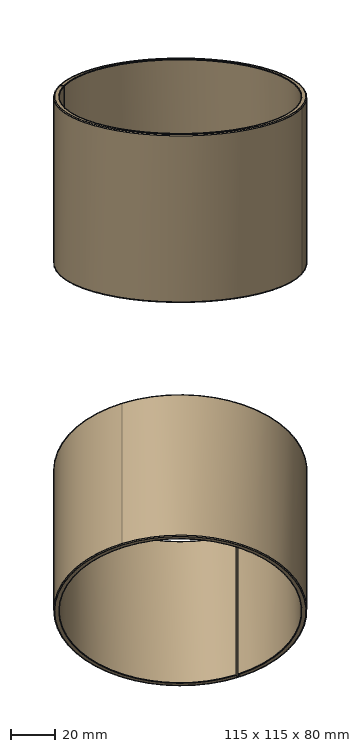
import cadquery as cq

outer_diameter = 115.0
wall = 2.5
height = 80.0
gap_width = 1.0
outer_chamfer = 0.5
inner_chamfer = 0.2

outer_radius = outer_diameter / 2
inner_radius = outer_radius - wall


def sleeve():
    """Revolve the wall section, with all four rim edges chamfered."""
    section = [
        (inner_radius + inner_chamfer, 0),
        (outer_radius - outer_chamfer, 0),
        (outer_radius, outer_chamfer),
        (outer_radius, height - outer_chamfer),
        (outer_radius - outer_chamfer, height),
        (inner_radius + inner_chamfer, height),
        (inner_radius, height - inner_chamfer),
        (inner_radius, inner_chamfer),
    ]
    return cq.Workplane("XZ").polyline(section).close().revolve(360, (0, 0), (0, 1))


def split_gap():
    """Full-height cutter through the -X wall, with one face on the XZ plane."""
    cutter = cq.Workplane("XY").box(outer_diameter, gap_width, height, centered=(True, False, False))
    return cutter.translate((-outer_radius, 0, 0))


result = sleeve().cut(split_gap())